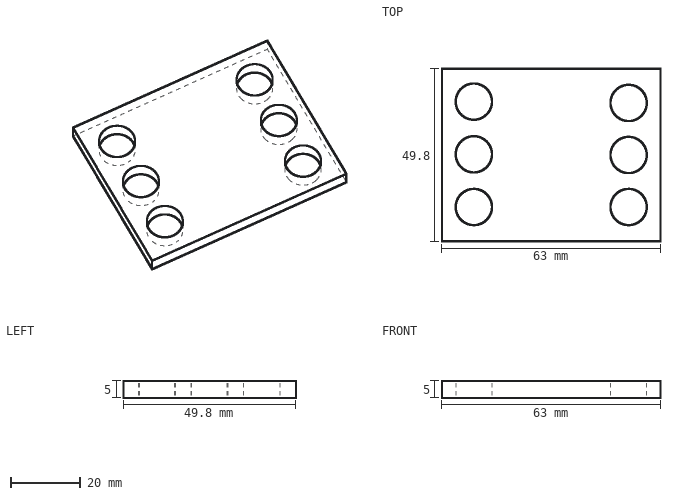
import cadquery as cq

length = 63.0
width = 49.75
thickness = 5.0

hole_diameter = 10.4
column_spacing = 44.6
first_hole_y = -15.0
left_pitch = 15.2
right_pitch = 15.0
holes_per_column = 3


def column_points(x, pitch):
    """Hole centres of one column, from front to back."""
    return [(x, first_hole_y + i * pitch) for i in range(holes_per_column)]


hole_centres = (
    column_points(-column_spacing / 2, left_pitch)
    + column_points(column_spacing / 2, right_pitch)
)

plate = cq.Workplane("XY").box(length, width, thickness)
result = plate.faces(">Z").workplane().pushPoints(hole_centres).hole(hole_diameter)